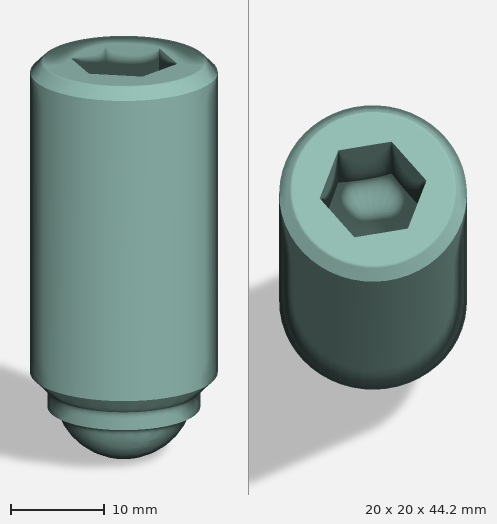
import cadquery as cq
import math

OVERALL_LENGTH = 44.2
SCREW_RADIUS = 10.0
NECK_RADIUS = 8.15
NECK_LENGTH = 2.0
TOP_CHAMFER = 1.25
TOP_EDGE_FILLET = 0.4

HEX_ACROSS_FLATS = 10.0
HEX_DEPTH = 10.0
FLOOR_CONE_ANGLE = 120.0

BALL_RADIUS = 7.5
BALL_PROTRUSION = 5.5

NECK_BOTTOM = BALL_PROTRUSION
NECK_TOP = NECK_BOTTOM + NECK_LENGTH
SHANK_BOTTOM = NECK_TOP + SCREW_RADIUS - NECK_RADIUS
SHANK_TOP = OVERALL_LENGTH - TOP_CHAMFER


def make_ball():
    """Full sphere whose lowest point lies at Z = 0."""
    return cq.Workplane("XY").sphere(BALL_RADIUS).translate((0, 0, BALL_RADIUS))


def make_hex_socket():
    """Hexagonal prism that ends in a cone reaching out to the hexagon corners."""
    corner_radius = HEX_ACROSS_FLATS / math.sqrt(3)
    cone_depth = corner_radius / math.tan(math.radians(FLOOR_CONE_ANGLE / 2))
    hex_bottom = OVERALL_LENGTH - HEX_DEPTH
    cone_tip = hex_bottom - cone_depth
    prism = (
        cq.Workplane("XY", origin=(0, 0, cone_tip))
        .polygon(6, 2 * corner_radius)
        .extrude(OVERALL_LENGTH - cone_tip)
    )
    pointed_bore = (
        cq.Workplane("XZ")
        .moveTo(0, cone_tip)
        .lineTo(corner_radius, hex_bottom)
        .lineTo(corner_radius, OVERALL_LENGTH)
        .lineTo(0, OVERALL_LENGTH)
        .close()
        .revolve(360, (0, 0), (0, 1))
    )
    return prism.intersect(pointed_bore)


def make_screw(ball):
    """Turned shank with the hexagon socket on top and the ball seat below."""
    blank = (
        cq.Workplane("XZ")
        .moveTo(0, NECK_BOTTOM)
        .lineTo(NECK_RADIUS, NECK_BOTTOM)
        .lineTo(NECK_RADIUS, NECK_TOP)
        .lineTo(SCREW_RADIUS, SHANK_BOTTOM)
        .lineTo(SCREW_RADIUS, SHANK_TOP)
        .lineTo(SCREW_RADIUS - TOP_CHAMFER, OVERALL_LENGTH)
        .lineTo(0, OVERALL_LENGTH)
        .close()
        .revolve(360, (0, 0), (0, 1))
    )
    rounded = blank.faces(">Z").edges().fillet(TOP_EDGE_FILLET)
    return rounded.cut(make_hex_socket()).cut(ball).solids()


ball = make_ball()
screw = make_screw(ball)

result = cq.Compound.makeCompound([screw.val(), ball.val()])